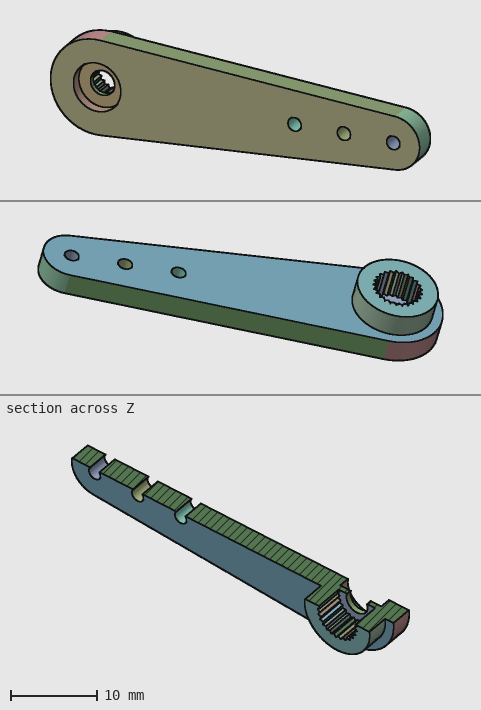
import cadquery as cq
import math

ARM_THICKNESS = 2.96
HUB_HEIGHT = 2.96
HUB_DIAMETER = 9.6
ROOT_RADIUS = 6.015
OVERALL_LENGTH = 47.5

LINK_HOLE_DIAMETER = 1.7
LINK_HOLE_SPACING = 6.35
LINK_HOLE_COUNT = 3
FIRST_LINK_HOLE_X = 25.4

RECESS_DIAMETER = 6.1
RECESS_DEPTH = 1.45
SCREW_HOLE_DIAMETER = 3.1
WEB_THICKNESS = 0.75

TOOTH_COUNT = 25
SOCKET_ROOT_DIAMETER = 5.8
SOCKET_TIP_DIAMETER = 5.1

TIP_CENTRE_X = FIRST_LINK_HOLE_X + (LINK_HOLE_COUNT - 1) * LINK_HOLE_SPACING
TIP_RADIUS = OVERALL_LENGTH - ROOT_RADIUS - TIP_CENTRE_X
TOTAL_DEPTH = ARM_THICKNESS + HUB_HEIGHT
SOCKET_START_Y = RECESS_DEPTH + WEB_THICKNESS


def plane_at(y):
    """Sketch plane at depth y: local x is X, local y is Z, and a negative extrusion runs along +Y."""
    return cq.Workplane("XZ", origin=(0, y, 0))


def cylinder(diameter, start_y, end_y, x=0):
    """Cylinder along Y between two depths."""
    return plane_at(start_y).center(x, 0).circle(diameter / 2).extrude(start_y - end_y)


def make_arm():
    """Tapered arm whose straight sides are tangent to the root and tip arcs."""
    sine = (ROOT_RADIUS - TIP_RADIUS) / TIP_CENTRE_X
    cosine = math.sqrt(1 - sine**2)
    root_x, root_z = ROOT_RADIUS * sine, ROOT_RADIUS * cosine
    tip_x, tip_z = TIP_CENTRE_X + TIP_RADIUS * sine, TIP_RADIUS * cosine
    return (
        plane_at(0)
        .moveTo(root_x, root_z)
        .lineTo(tip_x, tip_z)
        .threePointArc((TIP_CENTRE_X + TIP_RADIUS, 0), (tip_x, -tip_z))
        .lineTo(root_x, -root_z)
        .threePointArc((-ROOT_RADIUS, 0), (root_x, root_z))
        .close()
        .extrude(-ARM_THICKNESS)
    )


def make_socket():
    """Cutter for the toothed socket: alternating root and tip points joined by straight flanks."""
    half_pitch = math.pi / TOOTH_COUNT
    points = []
    for i in range(2 * TOOTH_COUNT):
        radius = (SOCKET_TIP_DIAMETER if i % 2 else SOCKET_ROOT_DIAMETER) / 2
        angle = i * half_pitch
        points.append((radius * math.cos(angle), radius * math.sin(angle)))
    return plane_at(SOCKET_START_Y).polyline(points).close().extrude(SOCKET_START_Y - TOTAL_DEPTH)


def make_horn():
    """Complete servo horn: arm and hub with the recess, socket and holes removed."""
    horn = make_arm().union(cylinder(HUB_DIAMETER, 0, TOTAL_DEPTH))
    horn = horn.cut(cylinder(RECESS_DIAMETER, 0, RECESS_DEPTH))
    horn = horn.cut(cylinder(SCREW_HOLE_DIAMETER, 0, TOTAL_DEPTH))
    horn = horn.cut(make_socket())
    for i in range(LINK_HOLE_COUNT):
        x = FIRST_LINK_HOLE_X + i * LINK_HOLE_SPACING
        horn = horn.cut(cylinder(LINK_HOLE_DIAMETER, 0, ARM_THICKNESS, x))
    return horn


result = make_horn()